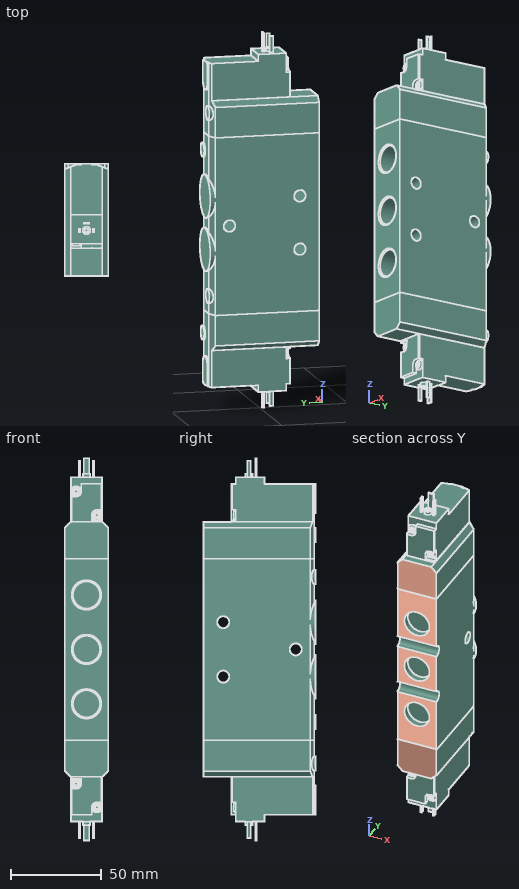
import cadquery as cq
import math

total_depth = 62.0
total_height = 211.0
width = 24.0

back_y = 61.3
back_flat_width = 12.0
back_bevel_depth = 2.3

block_height = 100.0
port_pitch = 30.0
port_diameter = 14.95
port_mouth_chamfer = 0.7
port_depth = 15.0
mounting_hole_diameter = 6.5
mounting_hole_spots = [(51.0, 0.0), (11.0, 15.0), (11.0, -15.0)]

rear_port_pad_diameter = 24.2
rear_port_pad_z = port_pitch / 2
screw_pad_diameter = 8.0
screw_pad_x = 6.0
block_screw_pad_z = 40.0
cap_screw_pad_z = 63.0

cap_top_z = 70.3
cap_top_width = 17.6

pilot_width = 17.2
pilot_top_z = 91.2
pilot_front_y = 15.4
pilot_front_chamfer = 0.5
socket_top_z = 95.0
socket_front_y = 17.9
socket_back_y = 33.8
label_width = 11.0
label_bottom_z = 75.0
label_top_radius = 2.7

pilot_screw_x = 5.73
upper_screw_z = 87.1
lower_screw_z = 74.1
screw_head_base = 5.6
screw_head_top = 3.8
screw_head_height = 1.2
screw_socket_diameter = 2.0
screw_socket_depth = 1.0

connector_y = 25.2
boss_diameter = 4.13
boss_height = 1.9
boss_hole_diameter = 2.01
boss_hole_depth = 6.0
blade_thickness = 0.7
blade_width = 2.0
blade_x = 3.82
blade_top_z = 104.1
ground_blade_width = 3.3
ground_blade_y = 29.1
ground_blade_top_z = total_height / 2

half_block = block_height / 2


def box(x_range, y_range, z_range):
    """Box between the given limits."""
    size = [high - low for low, high in (x_range, y_range, z_range)]
    return cq.Workplane("XY").box(*size, centered=False).translate((x_range[0], y_range[0], z_range[0]))


def cylinder_along_y(diameter, x, z, y_start, y_end):
    """Cylinder parallel to Y between two depths."""
    axis = cq.Vector(0, 1, 0)
    solid = cq.Solid.makeCylinder(diameter / 2, y_end - y_start, cq.Vector(x, y_start, z), axis)
    return cq.Workplane(solid)


def half_turn(shape):
    """Turn a shape upside down about the Y axis."""
    return shape.rotate((0, 0, 0), (0, 1, 0), 180)


def bevelled_prism(z_bottom, z_top):
    """Upright prism of the full valve section, with shallow bevels at the back corners."""
    half_width = width / 2
    half_flat = back_flat_width / 2
    bevel_start_y = back_y - back_bevel_depth
    outline = [
        (-half_width, 0),
        (half_width, 0),
        (half_width, bevel_start_y),
        (half_flat, back_y),
        (-half_flat, back_y),
        (-half_width, bevel_start_y),
    ]
    section = cq.Workplane("XY").workplane(offset=z_bottom).polyline(outline).close()
    return section.extrude(z_top - z_bottom)


def back_pad(diameter, x, z):
    """Raised round pad on the back, trimmed to the valve width."""
    pad_root_y = back_y - back_bevel_depth
    pad = cylinder_along_y(diameter, x, z, pad_root_y, total_depth)
    side_limits = box((-width / 2, width / 2), (pad_root_y, total_depth), (z - diameter, z + diameter))
    return pad.intersect(side_limits)


def front_port(z):
    """Blind round port with a chamfered mouth, as a cutter."""
    bore = cylinder_along_y(port_diameter, 0, z, 0, port_depth)
    mouth = cq.Solid.makeCone(
        port_diameter / 2 + port_mouth_chamfer,
        port_diameter / 2,
        port_mouth_chamfer,
        cq.Vector(0, 0, z),
        cq.Vector(0, 1, 0),
    )
    return bore.union(cq.Workplane(mouth))


def make_valve_block():
    block = bevelled_prism(-half_block, half_block)
    for z in (-rear_port_pad_z, rear_port_pad_z):
        block = block.union(back_pad(rear_port_pad_diameter, 0, z))
    for side in (-1, 1):
        block = block.union(back_pad(screw_pad_diameter, side * screw_pad_x, side * block_screw_pad_z))
    for z in (-port_pitch, 0, port_pitch):
        block = block.cut(front_port(z))
    mounting_holes = (
        cq.Workplane("YZ")
        .pushPoints(mounting_hole_spots)
        .circle(mounting_hole_diameter / 2)
        .extrude(width / 2, both=True)
    )
    return block.cut(mounting_holes)


def make_cap():
    """End cap whose top edges slope in towards the pilot."""
    top_chamfer = (width - cap_top_width) / 2
    cap = bevelled_prism(half_block, cap_top_z)
    side_slopes = (
        cq.Workplane("XZ")
        .moveTo(-width / 2, half_block)
        .lineTo(width / 2, half_block)
        .lineTo(width / 2, cap_top_z - top_chamfer)
        .lineTo(cap_top_width / 2, cap_top_z)
        .lineTo(-cap_top_width / 2, cap_top_z)
        .lineTo(-width / 2, cap_top_z - top_chamfer)
        .close()
        .extrude(-total_depth)
    )
    return cap.intersect(side_slopes).union(back_pad(screw_pad_diameter, -screw_pad_x, cap_screw_pad_z))


def make_label_plate():
    """Raised plate on the pilot's back: round below, small corner radii above."""
    plate_root_y = back_y - back_bevel_depth
    radius = label_width / 2
    arc_centre_z = label_bottom_z + radius
    upper = box((-radius, radius), (plate_root_y, total_depth), (arc_centre_z, pilot_top_z))
    upper = upper.edges("|Y and >Z").fillet(label_top_radius)
    return upper.union(cylinder_along_y(label_width, 0, arc_centre_z, plate_root_y, total_depth))


def make_pilot_housing():
    half_width = pilot_width / 2
    housing = box((-half_width, half_width), (pilot_front_y, back_y), (cap_top_z, pilot_top_z))
    housing = housing.edges("|Z and <Y").chamfer(pilot_front_chamfer)
    housing = housing.intersect(bevelled_prism(cap_top_z, pilot_top_z))
    connector_base = box((-half_width, half_width), (socket_front_y, socket_back_y), (cap_top_z, socket_top_z))
    return housing.union(connector_base).union(make_label_plate())


def screw_recess(side, z, z_end):
    """Recess open to the pilot side, rounded at its inner corner and reaching z_end, as a cutter."""
    radius = screw_head_base / 2
    x = side * pilot_screw_x
    x_limits = sorted([x - side * radius, side * width / 2])
    z_near = z - math.copysign(radius, z_end - z)
    z_limits = sorted([z_near, z_end])
    recess = box(x_limits, (pilot_front_y, socket_front_y), z_limits)
    inner_edge = "<X" if side > 0 else ">X"
    near_edge = "<Z" if z_end > z else ">Z"
    return recess.edges(f"|Y and {inner_edge} and {near_edge}").fillet(radius)


def screw_head(side, z):
    """Tapered screw head with a round socket."""
    x = side * pilot_screw_x
    face_y = socket_front_y - screw_head_height
    head = cq.Solid.makeCone(
        screw_head_base / 2,
        screw_head_top / 2,
        screw_head_height,
        cq.Vector(x, socket_front_y, z),
        cq.Vector(0, -1, 0),
    )
    socket = cylinder_along_y(screw_socket_diameter, x, z, face_y, face_y + screw_socket_depth)
    return cq.Workplane(head).cut(socket)


def add_connector(unit):
    """Central threaded boss, two side blades and one ground blade."""
    top = cq.Workplane("XY").workplane(offset=socket_top_z)
    boss = top.center(0, connector_y).circle(boss_diameter / 2).extrude(boss_height)
    boss_hole = (
        cq.Workplane("XY")
        .workplane(offset=socket_top_z + boss_height)
        .center(0, connector_y)
        .circle(boss_hole_diameter / 2)
        .extrude(-boss_hole_depth)
    )
    unit = unit.union(boss).cut(boss_hole)
    for x in (-blade_x, blade_x):
        blade = top.center(x, connector_y).rect(blade_thickness, blade_width)
        unit = unit.union(blade.extrude(blade_top_z - socket_top_z))
    ground_blade = top.center(0, ground_blade_y).rect(ground_blade_width, blade_thickness)
    return unit.union(ground_blade.extrude(ground_blade_top_z - socket_top_z))


def make_end_unit():
    unit = make_cap().union(make_pilot_housing())
    lower_recess_end_z = lower_screw_z - screw_head_base / 2
    unit = unit.cut(screw_recess(-1, upper_screw_z, pilot_top_z))
    unit = unit.cut(screw_recess(1, lower_screw_z, lower_recess_end_z))
    unit = unit.union(screw_head(-1, upper_screw_z))
    unit = unit.union(screw_head(1, lower_screw_z))
    return add_connector(unit)


valve_block = make_valve_block()
upper_end_unit = make_end_unit()
lower_end_unit = half_turn(upper_end_unit)

bodies = [body.solids().val() for body in (valve_block, upper_end_unit, lower_end_unit)]
result = cq.Compound.makeCompound(bodies)